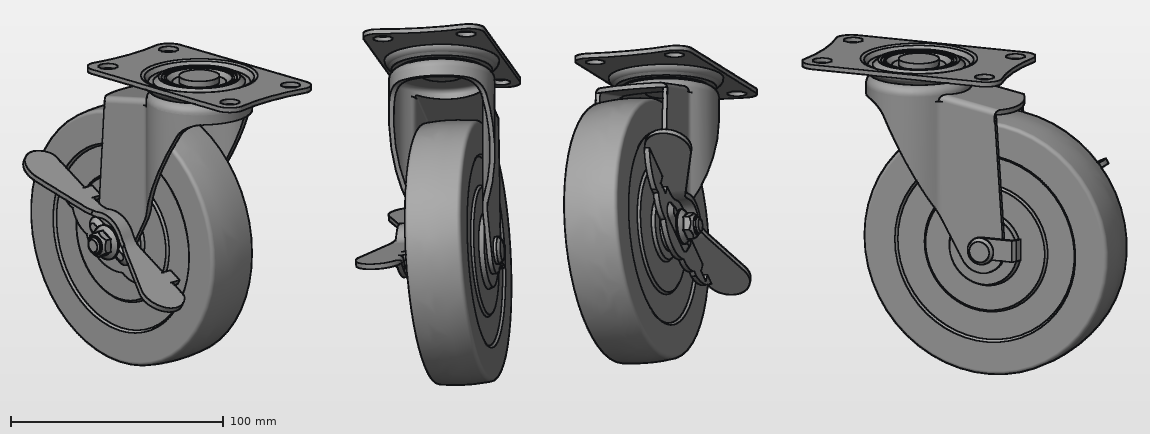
import cadquery as cq
import math


wheel_radius = 62.5
wheel_width = 27.0
sheet = 2.3
overall_height = 147.8
plate_top = overall_height - wheel_radius

plate_length = 100.0
plate_width = 58.1
plate_end_x = 88.8
swivel_x = plate_end_x - plate_length / 2

pin_radius = 9.5
axle_radius = 4.0
leg_inner = 15.9
leg_outer = leg_inner + sheet
margin = 1.5


def swivel_ring(profile):
    """Revolve a closed (radius, height) profile about the swivel axis."""
    ring = cq.Workplane("XZ").polyline(profile).close()
    return ring.revolve(360, (0, 0, 0), (0, 1, 0)).translate((swivel_x, 0, 0))


def axle_ring(profile):
    """Revolve a closed (radius, y) profile about the wheel axle."""
    return cq.Workplane("XY").polyline(profile).close().revolve(360, (0, 0, 0), (0, 1, 0))


def axle_cylinder(radius, y_start, y_end):
    """Cylinder about the wheel axle between two y positions."""
    disc = cq.Workplane("XZ", origin=(0, y_start, 0)).circle(radius)
    return disc.extrude(y_start - y_end)


def side_prism(wire, half_width):
    """Extrude an XZ outline symmetrically about the middle plane."""
    return wire.extrude(half_width, both=True)


plate_corner = 7.5
plate_waist = 2.3
hole_spacing_x = 82.0
hole_spacing_y = 40.0
hole_diameter = 9.0

race_floor = plate_top - 2.9
race_crown = plate_top - 0.6
dish_floor = plate_top - 3.0
cup_bottom = plate_top - 6.7
fork_top = plate_top - 7.5

groove_lip = 27.5
lip_drop = 0.6
groove_wall = 25.9
groove_outer = 24.0
groove_inner = 21.8
crown_outer = 19.2
crown_inner = 16.5
crown_step = 17.8
crown_step_depth = 0.5
cup_rim = 27.0
cup_base = 23.7
cup_bend = (26.5, plate_top - 4.1)
cup_foot = (25.1, plate_top - 5.3)
neck_radius = 20.3
flange_bottom = plate_top - 5.1


def make_plate():
    half_l = plate_length / 2
    half_w = plate_width / 2
    waist_x = half_l - plate_waist
    side_y = half_w - plate_corner
    diag = plate_corner * (1 - math.sqrt(0.5))
    outline = (
        cq.Workplane("XY", origin=(swivel_x, 0, plate_top - sheet))
        .moveTo(-half_l + plate_corner, -half_w)
        .lineTo(half_l - plate_corner, -half_w)
        .threePointArc((half_l - diag, -half_w + diag), (half_l, -side_y))
        .threePointArc((waist_x, 0), (half_l, side_y))
        .threePointArc((half_l - diag, half_w - diag), (half_l - plate_corner, half_w))
        .lineTo(-half_l + plate_corner, half_w)
        .threePointArc((-half_l + diag, half_w - diag), (-half_l, side_y))
        .threePointArc((-waist_x, 0), (-half_l, -side_y))
        .threePointArc((-half_l + diag, -half_w + diag), (-half_l + plate_corner, -half_w))
        .close()
    )
    plate = outline.extrude(sheet)

    cup = (
        cq.Workplane("XZ")
        .moveTo(0, plate_top - sheet)
        .lineTo(cup_rim, plate_top - sheet)
        .threePointArc(cup_bend, cup_foot)
        .lineTo(cup_base, cup_bottom)
        .lineTo(neck_radius, cup_bottom)
        .lineTo(neck_radius, fork_top)
        .lineTo(0, fork_top)
        .close()
        .revolve(360, (0, 0, 0), (0, 1, 0))
    )
    plate = plate.union(cup.translate((swivel_x, 0, 0)))

    plate = plate.cut(swivel_ring([
        (0, plate_top), (groove_lip, plate_top), (groove_wall, plate_top - lip_drop),
        (groove_outer, race_floor), (groove_inner, race_floor), (crown_outer, race_crown),
        (crown_step, race_crown), (crown_step, race_crown - crown_step_depth),
        (crown_inner, race_crown - crown_step_depth), (crown_inner, flange_bottom), (0, flange_bottom),
    ]))
    plate = plate.cut(cq.Workplane("XY", origin=(swivel_x, 0, 0)).circle(pin_radius).extrude(plate_top))

    holes = (
        cq.Workplane("XY", origin=(swivel_x, 0, plate_top - sheet))
        .rarray(hole_spacing_x, hole_spacing_y, 2, 2)
        .circle(hole_diameter / 2)
        .extrude(sheet)
    )
    return plate.cut(holes)


dish_wall_top = 15.6
dish_wall_base = 12.7


def make_kingpin():
    crown_z = race_crown - crown_step_depth
    return swivel_ring([
        (0, plate_top), (pin_radius, plate_top), (pin_radius, dish_floor),
        (dish_wall_base, dish_floor), (dish_wall_top, crown_z), (crown_inner, crown_z),
        (crown_inner, flange_bottom), (pin_radius, flange_bottom),
        (pin_radius, fork_top - sheet), (0, fork_top - sheet),
    ])


collar_radius = 25.0
collar_round = 4.5
collar_bottom = 68.5
collar_blend = 13.0
leg_end_radius = 11.0
front_lean = 4.1
rear_slope = 60.7
roof_slope = 10.0
roof_ref_x = 20.9
roof_ref_z = 73.8
roof_round = 3.0
leg_blend = 4.5
web_tip_x = -12.4
web_corner_x = -6.5


def roof_height(x):
    return roof_ref_z + (x - roof_ref_x) * math.tan(math.radians(roof_slope))


def fork_envelope(inset):
    """Outer body of the fork, shrunk by the given wall thickness."""
    front_x = web_tip_x - margin
    drop = inset / math.cos(math.radians(roof_slope))
    legs = side_prism(
        cq.Workplane("XZ").polyline([
            (front_x, -wheel_radius), (swivel_x, -wheel_radius),
            (swivel_x, roof_height(swivel_x) - drop), (front_x, roof_height(front_x) - drop),
        ]).close(),
        leg_outer - inset,
    )
    collar = (
        cq.Workplane("XY", origin=(swivel_x, 0, -wheel_radius))
        .circle(collar_radius - inset)
        .extrude(fork_top - inset + wheel_radius)
    )
    legs = legs.faces(">Z").edges("not |Y").fillet(roof_round - inset)
    collar = collar.faces(">Z").edges().fillet(collar_round - inset)
    reach = collar_radius + leg_blend
    centre_y = leg_outer + leg_blend
    centre_x = swivel_x - math.sqrt(reach ** 2 - centre_y ** 2)
    blend_radius = leg_blend + inset
    touch = (collar_radius - inset) / reach
    touch_x = swivel_x - (swivel_x - centre_x) * touch
    touch_y = centre_y * touch
    blend_height = roof_height(centre_x) - drop - roof_round + inset + wheel_radius
    root_y = leg_outer - inset - margin
    body = legs.union(collar)
    for side in (-1, 1):
        corner = (
            cq.Workplane("XY", origin=(0, 0, -wheel_radius))
            .polyline([
                (centre_x, side * root_y), (centre_x, side * centre_y),
                (touch_x, side * touch_y), (swivel_x, side * root_y),
            ]).close()
            .extrude(blend_height)
        )
        round_cut = (
            cq.Workplane("XY", origin=(centre_x, side * centre_y, -wheel_radius))
            .circle(blend_radius)
            .extrude(blend_height)
        )
        body = body.union(corner.cut(round_cut))
    return body


def fork_side_outline():
    lean = math.radians(front_lean)
    slope = math.radians(rear_slope)
    front_touch = (-leg_end_radius * math.cos(lean), leg_end_radius * math.sin(lean))
    rear_touch = (leg_end_radius * math.sin(slope), -leg_end_radius * math.cos(slope))
    drop = sheet / math.cos(math.radians(roof_slope))
    corner_z = roof_height(web_corner_x) - drop
    front_x = web_tip_x - margin
    back_x = swivel_x + collar_radius + margin
    slope_x = rear_touch[0] + (collar_bottom - rear_touch[1]) / math.tan(slope)
    outline = side_prism(
        cq.Workplane("XZ")
        .moveTo(*rear_touch)
        .threePointArc((0, -leg_end_radius), front_touch)
        .lineTo(web_corner_x, corner_z)
        .lineTo(front_x, roof_height(front_x) - drop)
        .lineTo(front_x, plate_top)
        .lineTo(back_x, plate_top)
        .lineTo(back_x, collar_bottom)
        .lineTo(slope_x, collar_bottom)
        .close(),
        collar_radius + margin,
    )
    knee = cq.selectors.NearestToPointSelector((slope_x, 0, collar_bottom))
    return outline.edges("|Y").edges(knee).fillet(collar_blend)


def make_fork():
    shell = fork_envelope(0).cut(fork_envelope(sheet)).intersect(fork_side_outline())
    bowed_front = (
        cq.Workplane("XY", origin=(0, 0, roof_height(web_tip_x) - 2 * sheet))
        .moveTo(web_corner_x, -leg_outer)
        .threePointArc((web_tip_x, 0), (web_corner_x, leg_outer))
        .lineTo(web_tip_x - margin, leg_outer)
        .lineTo(web_tip_x - margin, -leg_outer)
        .close()
        .extrude(3 * sheet)
    )
    pin_hole = cq.Workplane("XY", origin=(swivel_x, 0, collar_bottom)).circle(pin_radius).extrude(plate_top)
    axle_hole = axle_cylinder(axle_radius, -leg_outer, leg_outer)
    return shell.cut(bowed_front).cut(pin_hole).cut(axle_hole)


tread_half = 11.8
tread_edge_radius = 61.7
tread_shoulder = (61.1, 13.0)
face_radius = 59.6
recess_depth = 1.2
recess_outer = 45.7
recess_inner = 30.1
recess_draft = 1.0
brake_hub_base = 15.9
brake_hub_radius = 14.8
brake_hub_end = -15.1
plain_hub_base = 18.2
plain_hub_radius = 17.1


def make_wheel():
    half = wheel_width / 2
    shoulder_radius, shoulder_y = tread_shoulder
    wheel = (
        cq.Workplane("XY")
        .moveTo(0, -half)
        .lineTo(face_radius, -half)
        .threePointArc((shoulder_radius, -shoulder_y), (tread_edge_radius, -tread_half))
        .threePointArc((wheel_radius, 0), (tread_edge_radius, tread_half))
        .threePointArc((shoulder_radius, shoulder_y), (face_radius, half))
        .lineTo(0, half)
        .close()
        .revolve(360, (0, 0, 0), (0, 1, 0))
    )
    for side in (-1, 1):
        floor = side * (half - recess_depth)
        wheel = wheel.cut(axle_ring([
            (recess_inner, side * half), (recess_outer, side * half),
            (recess_outer - recess_draft, floor), (recess_inner + recess_draft, floor),
        ]))
    brake_hub = axle_ring([
        (0, -half), (brake_hub_base, -half), (brake_hub_radius, brake_hub_end), (0, brake_hub_end),
    ])
    plain_hub = axle_ring([
        (0, half), (plain_hub_base, half), (plain_hub_radius, leg_inner), (0, leg_inner),
    ])
    wheel = wheel.union(brake_hub).union(plain_hub)
    return wheel.cut(axle_cylinder(axle_radius, -2 * half, 2 * half))


pedal_tilt = 30.0
pedal_sheet = 2.5
pedal_face = -leg_outer - pedal_sheet
pedal_top = 10.0
hump_radius = 15.3
hump_blend = 12.1
pedal_bend = 2.1
wing_radius = 11.0
wing_x = 44.9
wing_y = -leg_outer - wing_radius
wing_angle = 23.6
hump_edge_y = -26.9
boss_x = 10.6
boss_base = 4.5
boss_flat = 2.0
nut_seat = -23.0
tongue_centres = (-23.6, 37.4)
tongue_width = 7.1
tongue_end = -14.5
window_bottom = 3.2


def flange_block(inset):
    """Solid below the flange surface, lowered by the given thickness."""
    depth = 2 * wing_radius + margin
    reach = wing_x + wing_radius + margin
    top = pedal_top - inset
    base = (
        cq.Workplane("XZ", origin=(0, -leg_outer, 0))
        .moveTo(0, top / 2 - wheel_radius / 2)
        .rect(2 * reach, top + wheel_radius)
        .extrude(depth)
    )
    block = base.union(axle_cylinder(hump_radius - inset, -leg_outer, -leg_outer - depth))
    corner_x = math.sqrt((hump_radius - inset) ** 2 - top ** 2)
    for x in (-corner_x, corner_x):
        corner = cq.selectors.NearestToPointSelector((x, -leg_outer - depth / 2, top))
        block = block.edges("|Y").edges(corner).fillet(hump_blend + inset)
    return block


def wing_plan():
    """Plan shape of the flange with its two round-ended wings."""
    angle = math.radians(wing_angle)
    touch_x = wing_x - wing_radius * math.sin(angle)
    touch_y = wing_y - wing_radius * math.cos(angle)
    hump_x = touch_x - (hump_edge_y - touch_y) / math.tan(angle)
    right = [(wing_x, -leg_outer), (wing_x, wing_y), (touch_x, touch_y), (hump_x, hump_edge_y)]
    left = [(-x, y) for x, y in reversed(right)]
    plan = cq.Workplane("XY").polyline(right + left).close().extrude(2 * hump_radius)
    ends = cq.Workplane("XY").pushPoints([(-wing_x, wing_y), (wing_x, wing_y)]).circle(wing_radius)
    return plan.union(ends.extrude(2 * hump_radius))


def pedal_web():
    """Upright sheet of the pedal with its scalloped lower edge."""
    end = (47.2, pedal_top - pedal_sheet)
    lobe = (37.4, -1.0)
    notch_out = (30.1, -3.5)
    notch_in = (27.2, -3.2)
    scallop = (22.7, -6.4)
    hub_edge = (13.9, -7.9)
    hub_low = (0, -12.7)

    def mirrored(point):
        return (-point[0], point[1])

    return (
        cq.Workplane("XZ", origin=(0, -leg_outer, 0))
        .moveTo(*mirrored(end))
        .threePointArc(mirrored(lobe), mirrored(notch_out))
        .lineTo(*mirrored(notch_in))
        .threePointArc(mirrored(scallop), mirrored(hub_edge))
        .threePointArc(hub_low, hub_edge)
        .threePointArc(scallop, notch_in)
        .lineTo(*notch_out)
        .threePointArc(lobe, end)
        .lineTo(end[0], hump_radius)
        .lineTo(-end[0], hump_radius)
        .close()
        .extrude(pedal_sheet)
    )


def make_pedal():
    under = flange_block(pedal_sheet)
    bend_zone = cq.selectors.BoxSelector(
        (-wing_x, -leg_outer - margin, margin), (wing_x, -leg_outer + margin, 2 * hump_radius)
    )
    top_edges = flange_block(0).faces(">Y").edges(bend_zone)
    flange = top_edges.fillet(pedal_bend).cut(under).intersect(wing_plan())
    pedal = flange.union(pedal_web().intersect(under))

    for x in tongue_centres:
        window = cq.Workplane("XY").box(
            tongue_width, pedal_sheet, pedal_top - pedal_sheet - window_bottom, centered=(True, False, False)
        ).translate((x, pedal_face, window_bottom))
        tongue = cq.Workplane("XY").box(
            tongue_width, tongue_end - pedal_face, pedal_sheet, centered=(True, False, False)
        ).translate((x, pedal_face, pedal_top - pedal_sheet))
        pedal = pedal.cut(window).union(tongue)

    height = pedal_face - nut_seat
    boss_taper = math.degrees(math.atan((boss_base - boss_flat) / height))
    boss = (
        cq.Workplane("XZ", origin=(0, pedal_face, 0))
        .slot2D(2 * (boss_x + boss_base), 2 * boss_base)
        .extrude(height, taper=boss_taper)
    )
    pedal = pedal.union(boss).cut(axle_cylinder(axle_radius, -leg_outer, nut_seat))
    return pedal.rotate((0, 0, 0), (0, 1, 0), pedal_tilt)


nut_flange_radius = 8.3
nut_flange_edge = -23.7
nut_start = -25.9
nut_end = -30.4
nut_corner_radius = 6.4
nut_cone_radius = 5.9
nut_top_radius = 4.5
stud_end = -32.2
stud_chamfer = 0.9
head_radius = 6.5
head_end = 21.2
head_chamfer = 1.5
tab_sheet = 1.4
tab_low = -3.8
tab_high = 6.5
tab_bend_outer = (-17.4, 18.0)
tab_bend_inner = (-16.5, 17.5)
tab_tip_outer = (-18.6, 15.0)
tab_tip_inner = (-17.7, 15.0)
tab_shoulder_outer = -15.7
tab_shoulder_inner = -15.1


def make_axle():
    shaft = axle_cylinder(axle_radius, leg_outer, stud_end).faces("<Y").edges().chamfer(stud_chamfer)
    head = axle_cylinder(head_radius, leg_outer, head_end).faces(">Y").edges().chamfer(head_chamfer)

    strap_face = leg_outer + tab_sheet
    strap = cq.Workplane("XY", origin=(0, 0, tab_low)).polyline([
        (0, leg_outer), (0, strap_face), (tab_shoulder_outer, strap_face), tab_bend_outer,
        tab_tip_outer, tab_tip_inner, tab_bend_inner, (tab_shoulder_inner, leg_outer),
    ]).close().extrude(tab_high - tab_low)

    nut_flange = axle_ring([
        (0, nut_seat), (nut_flange_radius, nut_seat), (nut_flange_radius, nut_flange_edge),
        (nut_cone_radius, nut_start), (0, nut_start),
    ])
    hexagon = (
        cq.Workplane("XZ", origin=(0, nut_flange_edge, 0))
        .polygon(6, 2 * nut_corner_radius)
        .extrude(nut_flange_edge - nut_end)
        .rotate((0, 0, 0), (0, 1, 0), 90)
    )
    nut_cone = axle_ring([
        (0, nut_flange_edge), (nut_corner_radius, nut_flange_edge),
        (nut_corner_radius, nut_end + nut_corner_radius - nut_top_radius),
        (nut_top_radius, nut_end), (0, nut_end),
    ])
    nut = nut_flange.union(hexagon.intersect(nut_cone))
    return shaft.union(head).union(strap).union(nut)


plate = make_plate()
kingpin = make_kingpin()
fork = make_fork()
wheel = make_wheel()
pedal = make_pedal()
axle = make_axle()

result = cq.Compound.makeCompound([
    plate.solids().val(),
    kingpin.solids().val(),
    fork.solids().val(),
    wheel.solids().val(),
    pedal.solids().val(),
    axle.solids().val(),
])